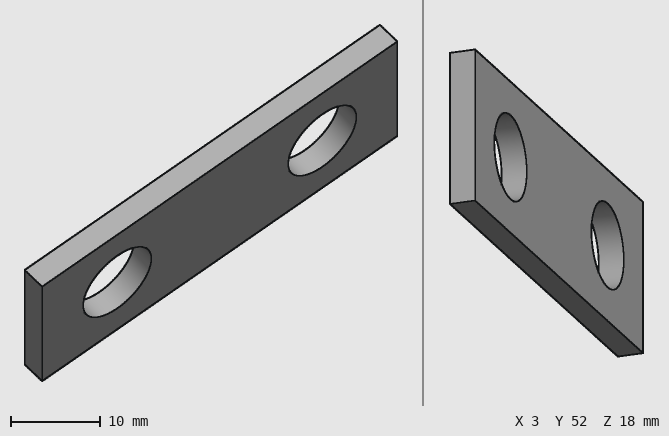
import cadquery as cq

thickness = 3.0
length = 52.0
height = 18.0

hole_diameter = 10.0
hole_spacing = 30.0

plate = cq.Workplane("XY").box(thickness, length, height)

hole_centres = [(-hole_spacing / 2, 0), (hole_spacing / 2, 0)]
holes = (
    cq.Workplane("YZ")
    .pushPoints(hole_centres)
    .circle(hole_diameter / 2)
    .extrude(thickness, both=True)
)

result = plate.cut(holes)